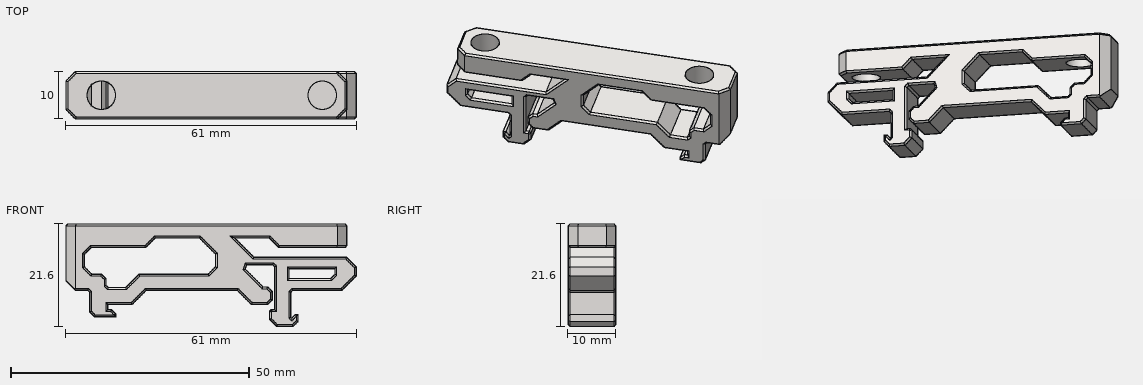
import cadquery as cq
import math

length = 61.0
width = 10.0
height = 21.6

edge_break = 0.4
end_cut = 2.0
small_cut = 0.4
medium_cut = 1.0

beam_end = 59.05
beam_thin = 3.0
beam_thick = 5.0
relief_rise = beam_thick - beam_thin
relief_right = 44.7
body_bottom = 13.95

arm_top = 7.0
arm_root = 39.5
arm_tip_cut = 3.0

leg_left = 43.85
leg_right = 47.3
leg_heel = 42.75
leg_heel_cut = 1.5
leg_shoulder_cut = 0.35
leg_toe = 48.8
leg_toe_cut = 1.1
leg_lip_left = 48.2
leg_lip_top = 19.05
notch_x = 47.45
notch_depth = 19.8
notch_corner = notch_x - leg_right

gap_top = 8.6
gap_top_left = 38.0
gap_apex_x = 37.7
gap_apex_depth = 9.5
catch_top = 13.25
catch_end = 43.4
catch_left = 39.0

low_bottom = 16.95
low_rise = low_bottom - body_bottom
hook_ledge = 18.0
foot_left = 5.0
foot_inner = 8.85
foot_lip_left = 9.6
foot_toe = 10.5
foot_toe_top = 18.9
foot_bottom = 19.5
neck_right = 13.9

window_left = 3.9
window_right = 31.4
window_floor = 10.55
window_left_cut = 1.4
window_floor_cut = 1.5
window_relief_left = 16.8
window_relief_right = 28.05
window_relief_slope = 3.35
pocket_left = 8.5
pocket_right = 12.55
pocket_floor = 13.35
pocket_rise = pocket_floor - window_floor

slot_left = 46.9
slot_right = 56.5
slot_top = 9.45
slot_floor = 11.45
slot_cut = 0.85

hole_diameter = 6.0
hole_depth = 6.1
hole_places = (7.45, 53.85)

beam_and_arm = [
    (0, 0, 0),
    (beam_end, 0, 0),
    (beam_end, beam_thick, 0),
    (relief_right, beam_thick, 0),
    (relief_right - relief_rise, beam_thin, 0),
    (arm_root - (arm_top - beam_thin), beam_thin, 0),
    (arm_root, arm_top, 0),
    (length, arm_top, end_cut),
    (length, body_bottom, arm_tip_cut),
]
hooked_leg = [
    (leg_right, body_bottom, small_cut),
    (leg_right, notch_depth - notch_corner, 0),
    (notch_x, notch_depth, 0),
    (leg_lip_left, leg_lip_top, 0),
    (leg_toe, leg_lip_top, 0),
    (leg_toe, height, leg_toe_cut),
    (leg_heel, height, leg_heel_cut),
    (leg_heel, hook_ledge, leg_shoulder_cut),
    (leg_left, hook_ledge, 0),
]
catch = [
    (leg_left, gap_top, small_cut),
    (gap_top_left, gap_top, 0),
    (gap_apex_x, gap_apex_depth, 0),
    (gap_apex_x + catch_top - gap_apex_depth, catch_top, 0),
    (catch_end, catch_top, medium_cut),
    (catch_end, low_bottom, medium_cut),
    (catch_left, low_bottom, 0),
    (catch_left - low_rise, body_bottom, 0),
]
left_foot = [
    (neck_right + low_rise, body_bottom, 0),
    (neck_right, low_bottom, 0),
    (foot_inner, low_bottom, 0),
    (foot_inner, hook_ledge, 0),
    (foot_lip_left, hook_ledge, 0),
    (foot_toe, foot_toe_top, 0),
    (foot_toe, foot_bottom, 0),
    (foot_left, foot_bottom, medium_cut),
    (foot_left, body_bottom, small_cut),
    (0, body_bottom, end_cut),
]
window = [
    (window_left, beam_thick, window_left_cut),
    (window_relief_left, beam_thick, 0),
    (window_relief_left + relief_rise, beam_thin, 0),
    (window_relief_right, beam_thin, 0),
    (window_right, beam_thin + window_relief_slope, 0),
    (window_right, window_floor, window_floor_cut),
    (pocket_right + pocket_rise, window_floor, 0),
    (pocket_right, pocket_floor, 0),
    (pocket_left, pocket_floor, small_cut),
    (pocket_left, window_floor, medium_cut),
    (window_left, window_floor, window_floor_cut),
]
slot = [
    (slot_left, slot_top, 0),
    (slot_right, slot_top, 0),
    (slot_right, slot_floor, slot_cut),
    (slot_left, slot_floor, 0),
]


def outline(corners):
    """XZ points of the corners; a cut trims its corner by that length along both sides."""
    points = []
    for i, (x, depth, cut) in enumerate(corners):
        if cut == 0:
            points.append((x, -depth))
            continue
        neighbours = (corners[i - 1], corners[(i + 1) % len(corners)])
        for near_x, near_depth, _ in neighbours:
            share = cut / math.hypot(near_x - x, near_depth - depth)
            points.append((x + share * (near_x - x), -depth - share * (near_depth - depth)))
    return points


def prism(corners):
    """Solid across the full width with the given profile."""
    return cq.Workplane("XZ").polyline(outline(corners)).close().extrude(width / 2, both=True)


def upright_edges(solid, x):
    """Vertical edges of the solid that stand at x."""
    tolerance = 0.005
    return [edge for edge in solid.edges("|Z").vals() if abs(edge.Center().x - x) < tolerance]


def cut_beam_ends(solid):
    """Chamfer the four upright corners of the beam."""
    corners = upright_edges(solid, 0) + upright_edges(solid, beam_end)
    return solid.newObject(corners).chamfer(end_cut)


def break_edges(solid):
    """Chamfer the side edges, the top rim and the free end's lower rim, but not the corner-cut uprights."""
    free_end_point = (hole_places[1], 0, -beam_thick)
    free_end_underside = solid.faces(cq.selectors.NearestToPointSelector(free_end_point))
    edges = solid.faces("<Y or >Y").edges()
    edges = edges.add(solid.faces(">Z").edges())
    edges = edges.add(free_end_underside.edges("not <X"))
    sharp = upright_edges(solid, end_cut) + upright_edges(solid, beam_end - end_cut)
    broken = [edge for edge in edges.vals() if not any(edge.isSame(other) for other in sharp)]
    return solid.newObject(broken).chamfer(edge_break)


def screw_holes():
    """Cylinders that pass down through the beam only."""
    centres = [(x, 0) for x in hole_places]
    return cq.Workplane("XY").pushPoints(centres).circle(hole_diameter / 2).extrude(-hole_depth)


body = prism(beam_and_arm + hooked_leg + catch + left_foot)
body = body.cut(prism(window)).cut(prism(slot))
body = cut_beam_ends(body)
body = break_edges(body)
result = body.cut(screw_holes())